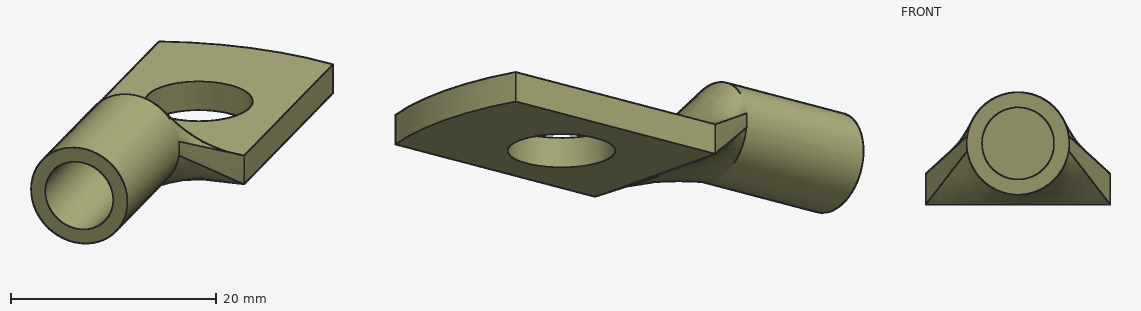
import cadquery as cq
import math

total_length = 49.5
palm_width = 18.0
palm_thickness = 3.0
tip_rise = 1.4
hole_diameter = 10.5
hole_to_tip = 15.0
barrel_diameter = 10.0
bore_diameter = 7.05
barrel_length = 15.0
neck_length = 7.45
crease_angle = 8.4
barrel_lift = 1.0

palm_start = barrel_length + neck_length
hole_y = total_length - hole_to_tip
half_width = palm_width / 2
barrel_axis_z = barrel_lift + barrel_diameter / 2


def section_plane(y, z):
    """Plane across the part, with its normal along +Y and local Y pointing up."""
    return cq.Workplane(cq.Plane(origin=(0, y, z), xDir=(-1, 0, 0), normal=(0, 1, 0)))


def make_palm():
    """Flat terminal tongue with an arched tip and a bolt hole."""
    shoulder_y = total_length - tip_rise
    palm = (
        cq.Workplane("XY")
        .moveTo(-half_width, palm_start)
        .lineTo(half_width, palm_start)
        .lineTo(half_width, shoulder_y)
        .threePointArc((0, total_length), (-half_width, shoulder_y))
        .close()
        .extrude(palm_thickness)
    )
    bolt_hole = cq.Workplane("XY").center(0, hole_y).circle(hole_diameter / 2).extrude(palm_thickness)
    return palm.cut(bolt_hole)


def circle_point(angle):
    """Point on the barrel circle at an angle in degrees, as local X and Y."""
    radius = barrel_diameter / 2
    return radius * math.cos(math.radians(angle)), radius * math.sin(math.radians(angle))


def make_neck():
    """Blend whose four creases run from the palm corners to the sides of the barrel."""
    palm_centre_z = palm_thickness / 2
    return (
        section_plane(barrel_length, barrel_axis_z)
        .moveTo(*circle_point(-crease_angle))
        .threePointArc(circle_point(0), circle_point(crease_angle))
        .threePointArc(circle_point(90), circle_point(180 - crease_angle))
        .threePointArc(circle_point(180), circle_point(180 + crease_angle))
        .threePointArc(circle_point(270), circle_point(-crease_angle))
        .close()
        .workplane(offset=neck_length)
        .center(0, palm_centre_z - barrel_axis_z)
        .moveTo(half_width, -palm_centre_z)
        .lineTo(half_width, palm_centre_z)
        .lineTo(-half_width, palm_centre_z)
        .lineTo(-half_width, -palm_centre_z)
        .close()
        .loft(ruled=True, combine=True)
    )


def make_barrel():
    """Round crimp barrel whose bore ends where the neck begins."""
    return (
        section_plane(0, barrel_axis_z)
        .circle(barrel_diameter / 2)
        .circle(bore_diameter / 2)
        .extrude(barrel_length)
    )


result = make_palm().union(make_neck()).union(make_barrel())